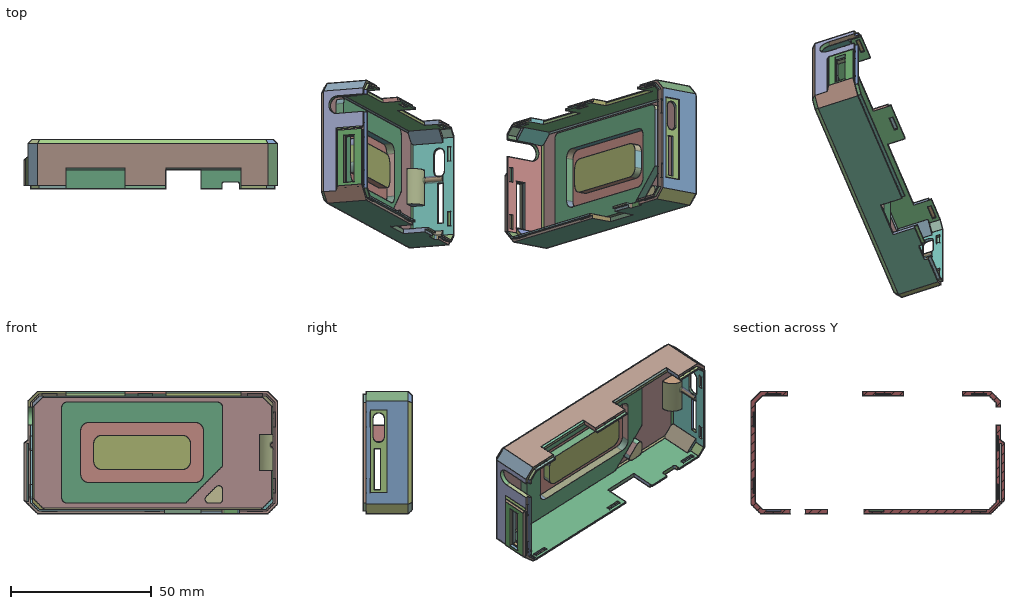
import cadquery as cq

LENGTH = 88.6
DEPTH = 17.5
HEIGHT = 43.5
WALL = 1.6
CORNER_LEG = 3.5
BACK_LEG = 1.5
OFFSET_TRIM = 2 - 2 ** 0.5
CUT_MARGIN = 1.0

LIP_DEPTH = 1.1
LIP_INSET = 1.0

INNER_RIGHT = LENGTH - WALL
INNER_TOP = HEIGHT - WALL
FLOOR_Y = DEPTH - WALL
FLOOR_LEG = BACK_LEG - OFFSET_TRIM * WALL

BLOCK_LEG = 4.2
BLOCK_FRONT_Y = 4.0

PAD_FRONT_Y = 13.0
PAD_X = (12.0, 69.1)
PAD_Z = (3.8, 39.7)
PAD_RADIUS = 2.0
PAD_DIAGONAL = 13.2
FOOT_LEG = 8.2
FOOT_RADIUS = 1.4
ISLAND_X = (23.35, 57.7)
ISLAND_Z = (15.7, 27.9)
POCKET_WIDTH = 4.6
POCKET_RADIUS = 3.0

POST_RADIUS = 4.9
POST_Z = (15.4, 28.2)
PIN_RADIUS = 0.85
PIN_FILLET = 0.45
PIN_Z = 24.5
PIN_FRONT_Y = 4.0

TOP_CUTOUTS_X = ((13.55, 34.4), (49.0, 75.6))
TOP_CUTOUT_DEPTH = 6.7
TOP_CUTOUT_BEVEL = 0.6
BOTTOM_CUTOUT_X = (48.5, 61.4)
BOTTOM_CUTOUT_DEPTH = 9.2
NOTCH_X = (68.9, 75.0)
NOTCH_DEPTH = 2.4
NOTCH_RADIUS = 0.6

SNAP_LENGTH = 5.2
SNAP_WIDTH = 1.3
SNAP_SKIN = 0.8
TOP_SNAPS_X = (7.7, 41.7, 80.6)
BOTTOM_SNAPS_X = (7.7, 44.1, 80.6)
LEFT_SNAPS_Z = (7.9, 25.1)
RIGHT_SNAPS_Z = (10.0, 33.5)

WINDOW_RADIUS = 3.2
WINDOW_Y = 10.85
WINDOW_Z = 34.7

BOSS_REACH = 1.4
BOSS_STEP = 0.65
BOSS_LEDGE = 0.15
BOSS_BACK_Y = 11.4
BOSS_TOP_Z = 26.3
GROOVE_WIDTH = 0.5
GROOVE_BACK_Y = 9.0
GROOVE_Z = (4.4, 24.9)
PORT_Y = (4.0, 7.9)
PORT_Z = (6.0, 23.1)

SLOT_Y = (4.0, 6.15)
SLOT_Z = (8.6, 23.1)
OVAL_Y = (3.55, 7.55)
OVAL_Z = (25.4, 35.8)
RECESS_DEPTH = 0.6
RECESS_MARGIN = 1.0


def box(x, y, z):
    """Box between the given (low, high) pairs."""
    return cq.Workplane("XY").box(
        x[1] - x[0], y[1] - y[0], z[1] - z[0], centered=False
    ).translate((x[0], y[0], z[0]))


def prism_xz(points, y_front, y_back):
    """Polygon in X and Z, extruded from y_front to y_back."""
    plane = cq.Workplane("XZ", origin=(0, y_front, 0))
    return plane.polyline(points).close().extrude(y_front - y_back)


def octagon(inset, leg, y_front, y_back):
    """Case outline moved inward by inset, with 45 degree corners of the given leg."""
    width = LENGTH - 2 * inset
    height = HEIGHT - 2 * inset
    body = box((inset, inset + width), (y_front, y_back), (inset, inset + height))
    return body.edges("|Y").chamfer(leg)


def rounded_block(x, y, z, radius):
    return box(x, y, z).edges("|Y").fillet(radius)


def make_case():
    """Chamfered hollow case with the stepped lip and thickened inner corners."""
    lip = octagon(LIP_INSET, CORNER_LEG - OFFSET_TRIM * LIP_INSET, 0, DEPTH / 2)
    body = octagon(0, CORNER_LEG, LIP_DEPTH, DEPTH).faces(">Y").chamfer(BACK_LEG)
    inner_leg = CORNER_LEG - OFFSET_TRIM * WALL
    mouth = octagon(WALL, inner_leg, -CUT_MARGIN, BLOCK_FRONT_Y)
    room = box((WALL, INNER_RIGHT), (0, FLOOR_Y), (WALL, INNER_TOP)).faces(">Y").chamfer(FLOOR_LEG)
    room = room.intersect(octagon(WALL, BLOCK_LEG, 0, DEPTH))
    return body.union(lip).cut(mouth).cut(room)


def make_pad():
    """Raised pad with one cut corner, its separate corner foot, and the ring pocket."""
    y = (PAD_FRONT_Y, FLOOR_Y)
    right = PAD_X[1]
    bottom = PAD_Z[0]
    pad = rounded_block(PAD_X, y, PAD_Z, PAD_RADIUS)
    corner = [(right, bottom), (right - PAD_DIAGONAL, bottom), (right, bottom + PAD_DIAGONAL)]
    pad = pad.cut(prism_xz(corner, *y))
    pocket_x = (ISLAND_X[0] - POCKET_WIDTH, ISLAND_X[1] + POCKET_WIDTH)
    pocket_z = (ISLAND_Z[0] - POCKET_WIDTH, ISLAND_Z[1] + POCKET_WIDTH)
    pad = pad.cut(rounded_block(pocket_x, y, pocket_z, POCKET_RADIUS))
    island = rounded_block(ISLAND_X, y, ISLAND_Z, POCKET_RADIUS)
    triangle = [(right, bottom), (right - FOOT_LEG, bottom), (right, bottom + FOOT_LEG)]
    foot = prism_xz(triangle, *y).edges("|Y").fillet(FOOT_RADIUS)
    return pad, island, foot


def make_post():
    """Quarter round post in the angle between the right wall and the floor."""
    post = cq.Workplane("XY", origin=(INNER_RIGHT, FLOOR_Y, POST_Z[0]))
    post = post.circle(POST_RADIUS).extrude(POST_Z[1] - POST_Z[0])
    inside = box((0, LENGTH - WALL / 2), (0, DEPTH - WALL / 2), (0, HEIGHT))
    return post.intersect(inside)


def make_pin():
    """Round pin along Y, half sunk in the right wall."""
    pin = cq.Workplane("XZ", origin=(INNER_RIGHT, PIN_FRONT_Y, PIN_Z))
    return pin.circle(PIN_RADIUS).extrude(PIN_FRONT_Y - FLOOR_Y)


def blend_pin(body):
    """Fillet where the pin meets the wall and the post."""
    reach = PIN_RADIUS + PIN_FILLET
    low = (INNER_RIGHT - reach, PIN_FRONT_Y + PIN_FILLET, PIN_Z - reach)
    high = (INNER_RIGHT + PIN_FILLET, FLOOR_Y - POST_RADIUS + PIN_FILLET, PIN_Z + reach)
    return body.edges(cq.selectors.BoxSelector(low, high)).fillet(PIN_FILLET)


def bevel_points(start):
    """Boss edge from the wall out to the face: two 45 degree bevels with a small ledge between."""
    ledge_end = BOSS_STEP + BOSS_LEDGE
    return [
        (0, start),
        (-BOSS_STEP, start - BOSS_STEP),
        (-ledge_end, start - BOSS_STEP),
        (-BOSS_REACH, start - BOSS_REACH + BOSS_LEDGE),
    ]


def make_boss():
    """Bevelled port boss, whose lower end follows the corner chamfer of the case."""
    root = WALL / 2
    side = [
        (-BOSS_REACH, CORNER_LEG + BOSS_REACH),
        (root, CORNER_LEG - root),
        (root, BOSS_TOP_Z),
        *bevel_points(BOSS_TOP_Z),
    ]
    plan = [
        (-BOSS_REACH, LIP_DEPTH),
        (root, LIP_DEPTH),
        (root, BOSS_BACK_Y),
        *bevel_points(BOSS_BACK_Y),
    ]
    profile = prism_xz(side, LIP_DEPTH, DEPTH)
    return profile.intersect(cq.Workplane("XY").polyline(plan).close().extrude(HEIGHT))


def top_cutout(x):
    """Opening in the top wall, with a bevel along the outer edge of its inner end."""
    opening = box(x, (-CUT_MARGIN, TOP_CUTOUT_DEPTH), (INNER_TOP - CUT_MARGIN, HEIGHT))
    bevel = [
        (TOP_CUTOUT_DEPTH, HEIGHT),
        (TOP_CUTOUT_DEPTH + TOP_CUTOUT_BEVEL, HEIGHT),
        (TOP_CUTOUT_DEPTH, HEIGHT - TOP_CUTOUT_BEVEL),
    ]
    plane = cq.Workplane("YZ", origin=(x[0], 0, 0))
    return opening.union(plane.polyline(bevel).close().extrude(x[1] - x[0]))


def bottom_cutouts():
    """Square opening and small round cornered notch in the bottom wall."""
    z = (-CUT_MARGIN, WALL + CUT_MARGIN)
    opening = box(BOTTOM_CUTOUT_X, (-CUT_MARGIN, BOTTOM_CUTOUT_DEPTH), z)
    notch = box(NOTCH_X, (-CUT_MARGIN, NOTCH_DEPTH), z)
    notch = notch.faces(">Y").edges("|Z").fillet(NOTCH_RADIUS)
    return opening.union(notch)


def snap_slots():
    """All blind snap slots, as one list of boxes."""
    y = (LIP_DEPTH, LIP_DEPTH + SNAP_WIDTH)
    half = SNAP_LENGTH / 2
    low = (SNAP_SKIN, WALL + CUT_MARGIN)
    right = (LENGTH - low[1], LENGTH - SNAP_SKIN)
    top = (HEIGHT - low[1], HEIGHT - SNAP_SKIN)
    slots = [box((x - half, x + half), y, top) for x in TOP_SNAPS_X]
    slots += [box((x - half, x + half), y, low) for x in BOTTOM_SNAPS_X]
    slots += [box(low, y, (z - half, z + half)) for z in LEFT_SNAPS_Z]
    slots += [box(right, y, (z - half, z + half)) for z in RIGHT_SNAPS_Z]
    return slots


def left_window():
    x = (-CUT_MARGIN, WALL)
    z = (WINDOW_Z - WINDOW_RADIUS, WINDOW_Z + WINDOW_RADIUS)
    straight = box(x, (-CUT_MARGIN, WINDOW_Y), z)
    end = cq.Workplane("YZ", origin=(x[0], WINDOW_Y, WINDOW_Z)).circle(WINDOW_RADIUS).extrude(x[1] - x[0])
    return straight.union(end)


def left_port():
    """Port through the boss and the wall, crossed by a groove open at the front of the boss."""
    port = box((-BOSS_REACH, WALL + CUT_MARGIN), PORT_Y, PORT_Z)
    half = GROOVE_WIDTH / 2
    groove = box((-half, half), (LIP_DEPTH, GROOVE_BACK_Y), GROOVE_Z)
    return port.union(groove)


def right_openings():
    """Plain slot and round ended slot, both opening into one recess on the outer face."""
    x = (INNER_RIGHT, LENGTH)
    slot = box(x, SLOT_Y, SLOT_Z)
    oval_center = (x[0], sum(OVAL_Y) / 2, sum(OVAL_Z) / 2)
    oval = cq.Workplane("YZ", origin=oval_center)
    oval = oval.slot2D(OVAL_Z[1] - OVAL_Z[0], OVAL_Y[1] - OVAL_Y[0], 90).extrude(x[1] - x[0])
    recess_y = (OVAL_Y[0] - RECESS_MARGIN, OVAL_Y[1] + RECESS_MARGIN)
    recess_z = (SLOT_Z[0] - RECESS_MARGIN, OVAL_Z[1] + RECESS_MARGIN)
    recess = box((LENGTH - RECESS_DEPTH, LENGTH + CUT_MARGIN), recess_y, recess_z)
    return slot.union(oval).union(recess)


result = make_case()
for addition in (*make_pad(), make_post(), make_pin()):
    result = result.union(addition)
result = blend_pin(result)
result = result.union(make_boss())
for cutout_x in TOP_CUTOUTS_X:
    result = result.cut(top_cutout(cutout_x))
for snap_slot in snap_slots():
    result = result.cut(snap_slot)
for opening in (bottom_cutouts(), left_window(), left_port(), right_openings()):
    result = result.cut(opening)